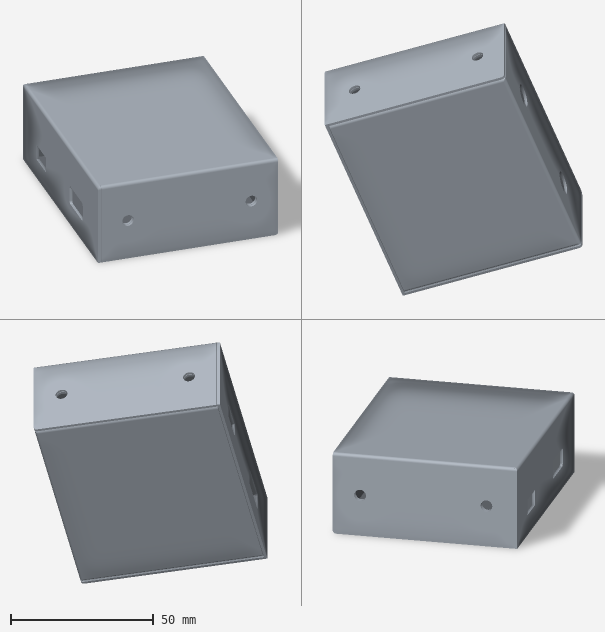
import cadquery as cq

LENGTH = 82.6
DEPTH = 66.7
HEIGHT = 30.0
SHEET = 1.0
BEND_RADIUS = 1.15
CLEARANCE = 0.2
SEAM = 0.1

CAVITY_LENGTH = LENGTH - 2 * SHEET
CAVITY_DEPTH = DEPTH - SHEET
CAVITY_HEIGHT = HEIGHT - SHEET
CAVITY_MID_Y = SHEET / 2

TRAY_LENGTH = CAVITY_LENGTH - 2 * CLEARANCE
TRAY_DEPTH = CAVITY_DEPTH - CLEARANCE
TRAY_HEIGHT = CAVITY_HEIGHT - CLEARANCE
TRAY_MID_Y = CAVITY_MID_Y + CLEARANCE / 2

SCREW_DIAMETER = 4.2
SCREW_PITCH = 45.7
SCREW_Z = HEIGHT / 2

SMALL_WINDOW_X = -21.1
SMALL_WINDOW_Z = 10.25
SMALL_WINDOW_WIDTH = 10.4
SMALL_WINDOW_HEIGHT = 5.7
LARGE_WINDOW_X = 17.35
LARGE_WINDOW_Z = 11.65
LARGE_WINDOW_WIDTH = 14.45
LARGE_WINDOW_HEIGHT = 7.0
LARGE_WINDOW_CORNER = 1.0

BACK_HOLE_DIAMETER = 8.1
BACK_HOLE_PITCH = 42.1
BACK_HOLE_MID_X = -0.25
BACK_HOLE_Z = 12.8

FRONT_Y = -DEPTH / 2
BACK_Y = DEPTH / 2


def block(length, depth, height, mid_y):
    """Box standing on Z = 0, centred on X, with its depth centred on mid_y."""
    return cq.Workplane("XY").box(length, depth, height, centered=(True, True, False)).translate((0, mid_y, 0))


def cut_screw_holes(body):
    cutters = (
        cq.Workplane("YZ", origin=(0, TRAY_MID_Y, SCREW_Z))
        .rarray(SCREW_PITCH, 0.8, 2, 1)
        .circle(SCREW_DIAMETER / 2)
        .extrude(LENGTH, both=True)
    )
    return body.cut(cutters)


def window_cutter(x, z, width, height):
    """Rectangular block through the front sheet, with its opening centred on (x, z)."""
    return cq.Workplane("XY").box(width, 2 * SHEET, height).translate((x, FRONT_Y + SHEET / 2, z))


def make_cover():
    """Top sheet with flanges bent down at the front and both sides."""
    cover = block(LENGTH, DEPTH, HEIGHT, 0)
    cover = cover.faces(">Z").edges("<X or >X or <Y").fillet(BEND_RADIUS)
    cover = cover.faces("<Z").edges(">Y").fillet(BEND_RADIUS)
    cover = cover.cut(block(CAVITY_LENGTH, CAVITY_DEPTH, CAVITY_HEIGHT, CAVITY_MID_Y))

    for side in (-1, 1):
        seam = block(BEND_RADIUS, SEAM, HEIGHT, FRONT_Y + BEND_RADIUS + SEAM / 2)
        cover = cover.cut(seam.translate((side * (LENGTH - BEND_RADIUS) / 2, 0, 0)))

    small_window = window_cutter(SMALL_WINDOW_X, SMALL_WINDOW_Z, SMALL_WINDOW_WIDTH, SMALL_WINDOW_HEIGHT)
    large_window = window_cutter(LARGE_WINDOW_X, LARGE_WINDOW_Z, LARGE_WINDOW_WIDTH, LARGE_WINDOW_HEIGHT)
    large_window = large_window.edges("|Y").fillet(LARGE_WINDOW_CORNER)
    cover = cover.cut(small_window).cut(large_window)
    return cut_screw_holes(cover)


def make_tray():
    """Bottom sheet with flanges bent up at the back and both sides, open at the front."""
    tray = block(TRAY_LENGTH, TRAY_DEPTH, TRAY_HEIGHT, TRAY_MID_Y)
    tray = tray.faces("<Z").edges("<X or >X or >Y").fillet(BEND_RADIUS)
    inside_mid_y = TRAY_MID_Y - SHEET / 2
    inside = block(TRAY_LENGTH - 2 * SHEET, TRAY_DEPTH - SHEET, TRAY_HEIGHT - SHEET, inside_mid_y)
    tray = tray.cut(inside.translate((0, 0, SHEET)))

    back_holes = (
        cq.Workplane("XZ", origin=(BACK_HOLE_MID_X, BACK_Y, BACK_HOLE_Z))
        .rarray(BACK_HOLE_PITCH, 0.8, 2, 1)
        .circle(BACK_HOLE_DIAMETER / 2)
        .extrude(2 * SHEET)
    )
    return cut_screw_holes(tray.cut(back_holes))


cover = make_cover()
tray = make_tray()

result = cq.Compound.makeCompound([cover.solids().val(), tray.solids().val()])